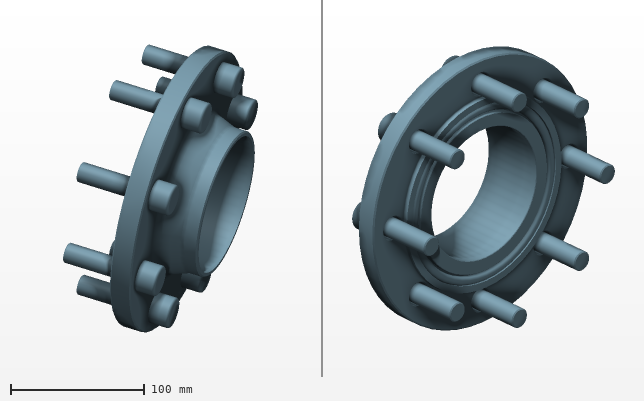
import cadquery as cq
import math


flange_diameter = 220
flange_thickness = 17.0
flange_chamfer = 1.0
pilot_diameter = 158.0
pilot_height = 3.7
pilot_root_fillet = 0.9
bore_diameter = 107.1
bore_chamfer = 0.5
neck_diameter = 114.5
neck_end = 48.8
neck_chamfer = 1.0
cone_angle = 20
cone_start = 21.5
cone_end = 35.6
neck_blend_radius = 7.5

groove_inner_diameter = 129.1
groove_outer_diameter = 146.7
groove_lip_chamfer = 0.5
ring_section_diameter = 7.0
ring_protrusion = 0.7

screw_count = 8
bolt_circle_diameter = 180.0
clearance_diameter = 18.0
clearance_chamfer = 0.9
shank_diameter = 15.6
shank_chamfer = 0.9
shank_reach = 43.1
head_diameter = 24.0
head_height = 16.0
head_fillet = 2.0

bolt_angles = [360 / screw_count * i for i in range(screw_count)]


def cylinder(diameter, x_start, x_end):
    """Solid cylinder on the X axis between two X positions."""
    return cq.Workplane("YZ").workplane(offset=x_start).circle(diameter / 2).extrude(x_end - x_start)


def revolve_about_x(profile):
    """Revolve a closed (x, radius) profile a full turn about the X axis."""
    return profile.close().revolve(360, (0, 0, 0), (1, 0, 0))


def make_flange():
    flange = cylinder(flange_diameter, 0, flange_thickness)
    return flange.edges().chamfer(flange_chamfer)


def make_pilot():
    """Raised pilot with a concave fillet where it meets the mating face."""
    radius = pilot_diameter / 2
    arc_mid = pilot_root_fillet * (1 - math.sqrt(0.5))
    profile = (
        cq.Workplane("XY")
        .moveTo(-pilot_height, 0)
        .lineTo(-pilot_height, radius)
        .lineTo(-pilot_root_fillet, radius)
        .threePointArc((-arc_mid, radius + arc_mid), (0, radius + pilot_root_fillet))
        .lineTo(flange_thickness / 2, radius + pilot_root_fillet)
        .lineTo(flange_thickness / 2, 0)
    )
    return revolve_about_x(profile)


def make_neck():
    """Cone blended tangentially into the flange face and into the neck cylinder."""
    angle = math.radians(cone_angle)
    neck_radius = neck_diameter / 2
    slope = math.tan(angle)

    blend_end = cone_end + neck_blend_radius * math.sin(angle)
    cone_end_radius = neck_radius + neck_blend_radius * (1 - math.cos(angle))
    blend_mid = (
        blend_end - neck_blend_radius * math.sin(angle / 2),
        neck_radius + neck_blend_radius * (1 - math.cos(angle / 2)),
    )

    cone_start_radius = cone_end_radius + (cone_end - cone_start) * slope
    root_radius = (cone_start - flange_thickness) / (1 - math.sin(angle))
    root_center = (
        flange_thickness + root_radius,
        cone_start_radius + root_radius * math.cos(angle),
    )
    mid_angle = (math.pi / 2 - angle) / 2
    root_mid = (
        root_center[0] - root_radius * math.cos(mid_angle),
        root_center[1] - root_radius * math.sin(mid_angle),
    )

    profile = (
        cq.Workplane("XY")
        .moveTo(flange_thickness / 2, 0)
        .lineTo(flange_thickness / 2, root_center[1])
        .lineTo(flange_thickness, root_center[1])
        .threePointArc(root_mid, (cone_start, cone_start_radius))
        .lineTo(cone_end, cone_end_radius)
        .threePointArc(blend_mid, (blend_end, neck_radius))
        .lineTo(neck_end - neck_chamfer, neck_radius)
        .lineTo(neck_end, neck_radius - neck_chamfer)
        .lineTo(neck_end, 0)
    )
    return revolve_about_x(profile)


def make_bore():
    """Through bore, chamfered at the pilot face."""
    radius = bore_diameter / 2
    profile = (
        cq.Workplane("XY")
        .moveTo(-pilot_height, 0)
        .lineTo(-pilot_height, radius + bore_chamfer)
        .lineTo(-pilot_height + bore_chamfer, radius)
        .lineTo(neck_end, radius)
        .lineTo(neck_end, 0)
    )
    return revolve_about_x(profile)


def make_groove():
    """Groove that holds the O-ring, open at the pilot face, with a chamfered inner lip."""
    floor = -pilot_height - ring_protrusion + ring_section_diameter
    inner_radius = groove_inner_diameter / 2
    outer_radius = groove_outer_diameter / 2
    profile = (
        cq.Workplane("XY")
        .moveTo(-pilot_height, outer_radius)
        .lineTo(floor, outer_radius)
        .lineTo(floor, inner_radius)
        .lineTo(-pilot_height + groove_lip_chamfer, inner_radius)
        .lineTo(-pilot_height, inner_radius - groove_lip_chamfer)
    )
    return revolve_about_x(profile)


def on_bolt_circle(shape, angle):
    """Move a shape from the X axis out to its place on the bolt circle."""
    return shape.translate((0, bolt_circle_diameter / 2, 0)).rotate((0, 0, 0), (1, 0, 0), angle)


def make_screw_hole():
    """Clearance hole with a countersunk edge at the mating face."""
    mouth_radius = clearance_diameter / 2 + clearance_chamfer
    profile = (
        cq.Workplane("XY")
        .lineTo(0, mouth_radius)
        .lineTo(clearance_chamfer, clearance_diameter / 2)
        .lineTo(flange_thickness, clearance_diameter / 2)
        .lineTo(flange_thickness, 0)
    )
    return revolve_about_x(profile)


def make_hub():
    hub = make_flange().union(make_pilot()).union(make_neck())
    hub = hub.cut(make_bore()).cut(make_groove())
    for angle in bolt_angles:
        hub = hub.cut(on_bolt_circle(make_screw_hole(), angle))
    return hub


def make_o_ring():
    """Round-section ring resting on the groove floor and against its outer wall."""
    section_radius = ring_section_diameter / 2
    center_x = -pilot_height - ring_protrusion + section_radius
    center_radius = groove_outer_diameter / 2 - section_radius
    section = cq.Workplane("XY").center(center_x, center_radius).circle(section_radius)
    return section.revolve(360, (0, -center_radius, 0), (1, -center_radius, 0))


def make_screw():
    """Cylinder-head screw on the X axis, its head seated on the flange."""
    head = cylinder(head_diameter, flange_thickness, flange_thickness + head_height)
    head = head.faces(">X").edges().fillet(head_fillet)
    shank = cylinder(shank_diameter, -shank_reach, flange_thickness)
    shank = shank.faces("<X").edges().chamfer(shank_chamfer)
    return head.union(shank)


hub = make_hub()
o_ring = make_o_ring()
screws = [on_bolt_circle(make_screw(), angle) for angle in bolt_angles]

result = cq.Compound.makeCompound([hub.val(), o_ring.val(), *[screw.val() for screw in screws]])